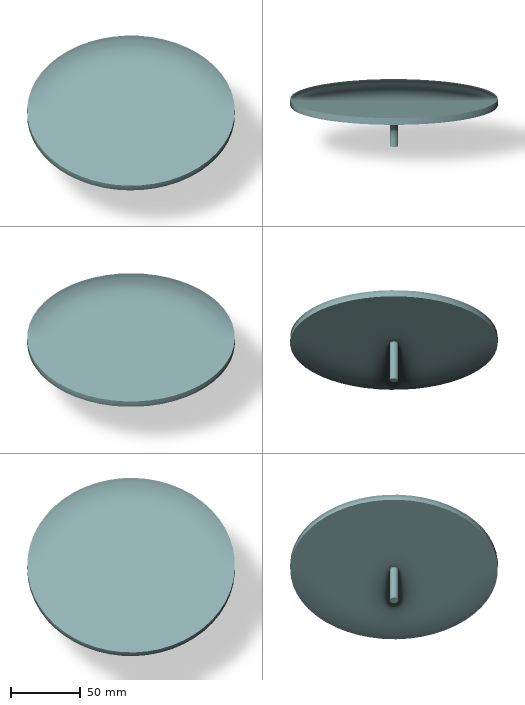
import cadquery as cq

plate_diameter = 150.0
plate_thickness = 5.0
stem_diameter = 6.0
stem_length = 30.0

plate = cq.Workplane("XY").circle(plate_diameter / 2).extrude(plate_thickness)
stem = cq.Workplane("XY").circle(stem_diameter / 2).extrude(-stem_length)

result = plate.union(stem)